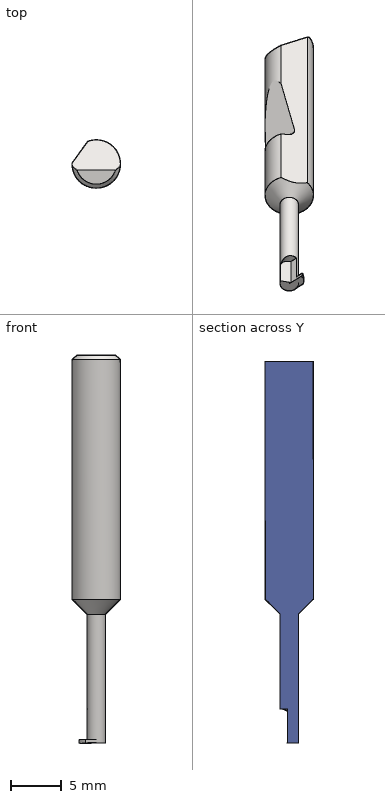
import cadquery as cq

total_length = 38.09
shank_diameter = 4.76
shank_radius = shank_diameter / 2
neck_radius = 0.91
neck_end_z = 0.07
shank_start_z = 14.15
cone_height = shank_radius - neck_radius
end_chamfer = 0.4

flat_normal_angle = 144
flat_distance = 1.98

bevel_start_y = -0.6

notch_floor_angle = 9
notch_corner_y = 1.0
notch_corner_z = 21.3
notch_fillet = 0.9
notch_length = 15.0

pocket_normal_angle = 143
pocket_foot_x = -0.2
pocket_top_z = 3.4
pocket_corner_radius = 0.95
pocket_width = 1.05

hook_tip_x = -1.7
hook_heel_x = -1.05
hook_flank_radius = 2.0
hook_top_z = 0.42
hook_nib_x = -1.5
hook_corner = 0.1
hook_clearance_angle = 4

clear = 10.0


def body():
    """Shank, cone and neck turned about Z."""
    profile = (
        cq.Workplane("XZ")
        .moveTo(0, neck_end_z)
        .lineTo(neck_radius, neck_end_z)
        .lineTo(neck_radius, shank_start_z - cone_height)
        .lineTo(shank_radius, shank_start_z)
        .lineTo(shank_radius, total_length - end_chamfer)
        .lineTo(shank_radius - end_chamfer, total_length)
        .lineTo(0, total_length)
        .close()
    )
    return profile.revolve(360, (0, 0, 0), (0, 1, 0))


def side_flat():
    """Material removed beyond the clamping flat, down to the neck."""
    height = total_length - shank_start_z + cone_height
    block = cq.Workplane("XY").box(clear, clear, height, centered=(False, True, False))
    block = block.translate((flat_distance, 0, total_length - height))
    return block.rotate((0, 0, 0), (0, 0, 1), flat_normal_angle)


def end_bevel():
    """Wedge removed above the 45 degree bevel."""
    return (
        cq.Workplane("YZ")
        .moveTo(bevel_start_y, total_length)
        .lineTo(bevel_start_y + clear, total_length)
        .lineTo(bevel_start_y + clear, total_length - clear)
        .close()
        .extrude(clear, both=True)
    )


def back_notch():
    """Rounded step with an inclined floor, cut across the back of the shank."""
    block = (
        cq.Workplane("XY")
        .box(2 * clear, clear, notch_length, centered=(True, False, False))
        .edges("<Y and <Z")
        .fillet(notch_fillet)
    )
    block = block.rotate((0, 0, 0), (1, 0, 0), -notch_floor_angle)
    return block.translate((0, notch_corner_y, notch_corner_z))


def chip_pocket():
    """Pocket with a rounded upper corner, kept to the +Y half of the neck."""
    block = (
        cq.Workplane("XY")
        .box(clear, pocket_width + clear, pocket_top_z + clear, centered=False)
        .translate((0, -pocket_width, -clear))
        .edges("<Y and >Z")
        .fillet(pocket_corner_radius)
        .rotate((0, 0, 0), (0, 0, 1), pocket_normal_angle)
        .translate((pocket_foot_x, 0, 0))
    )
    half_space = cq.Workplane("XY").box(2 * clear, clear, 4 * clear, centered=(True, False, True))
    return block.intersect(half_space)


def hook():
    """Hook plan with a curved flank, trimmed to an edge profile that rises behind the cutting edge."""
    plan = (
        cq.Workplane("XY")
        .moveTo(0, 0)
        .lineTo(hook_tip_x, 0)
        .radiusArc((hook_heel_x, -neck_radius), -hook_flank_radius)
        .lineTo(0, -neck_radius)
        .close()
        .extrude(hook_top_z)
    )
    edge_profile = (
        cq.Workplane("XZ")
        .moveTo(hook_nib_x, 0)
        .lineTo(0, neck_end_z)
        .lineTo(0, hook_top_z)
        .lineTo(hook_tip_x + hook_corner, hook_top_z)
        .lineTo(hook_tip_x, hook_top_z - hook_corner)
        .lineTo(hook_tip_x, hook_corner)
        .close()
        .extrude(2 * neck_radius)
        .rotate((0, 0, 0), (1, 0, 0), -hook_clearance_angle)
    )
    return plan.intersect(edge_profile)


result = body()
for removed in (side_flat(), end_bevel(), back_notch(), chip_pocket()):
    result = result.cut(removed)
result = result.union(hook())